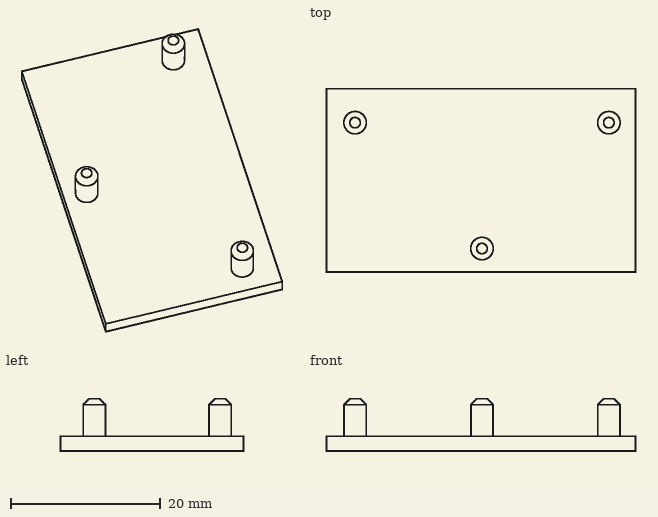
import cadquery as cq

plate_length = 41.32
plate_width = 24.5
plate_thickness = 2.0

overall_height = 7.0
pin_diameter = 3.0
pin_tip_diameter = 1.4
pin_chamfer = (pin_diameter - pin_tip_diameter) / 2
pin_height = overall_height - plate_thickness

pin_spacing = 33.9
left_pin_inset = 3.84
rear_pin_inset = 4.54
front_pin_inset = 3.15

left_pin_x = -plate_length / 2 + left_pin_inset
right_pin_x = left_pin_x + pin_spacing
middle_pin_x = (left_pin_x + right_pin_x) / 2
rear_pin_y = plate_width / 2 - rear_pin_inset
front_pin_y = -plate_width / 2 + front_pin_inset

pin_positions = [
    (left_pin_x, rear_pin_y),
    (right_pin_x, rear_pin_y),
    (middle_pin_x, front_pin_y),
]


def make_plate():
    """Flat rectangular plate with its underside at Z = 0."""
    return cq.Workplane("XY").box(
        plate_length, plate_width, plate_thickness, centered=(True, True, False)
    )


def make_pins():
    """Round pins on the plate's upper face, each with a chamfered tip."""
    pins = (
        cq.Workplane("XY")
        .workplane(offset=plate_thickness)
        .pushPoints(pin_positions)
        .circle(pin_diameter / 2)
        .extrude(pin_height)
    )
    return pins.faces(">Z").edges().chamfer(pin_chamfer)


result = make_plate().union(make_pins())